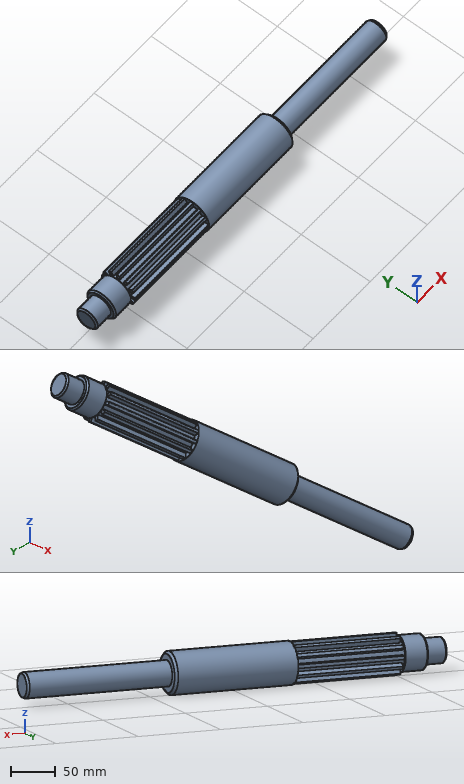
import cadquery as cq

TOTAL_LENGTH = 510.5
COLLAR_START = 25.0
COLLAR_END = 53.0
SPLINE_START = 56.0
BODY_START = 185.5
BODY_END = 334.5

JOURNAL_DIAMETER = 30.0
COLLAR_DIAMETER = 42.0
SPLINE_ROOT_DIAMETER = 35.5
SPLINE_TIP_DIAMETER = 48.5
BODY_DIAMETER = 50.0

SPLINE_COUNT = 12
SPLINE_WIDTH = 4.0

SMALL_CHAMFER = 2.0
LARGE_CHAMFER = 3.0
TAIL_CHAMFER_DEPTH = 1.5


def cylinder(start, end, diameter):
    """Solid cylinder on the X axis from start to end."""
    return cq.Workplane("YZ", origin=(start, 0, 0)).circle(diameter / 2).extrude(end - start)


def splines():
    """Straight-sided teeth arranged around the root cylinder."""
    tip_cylinder = cylinder(SPLINE_START, BODY_START, SPLINE_TIP_DIAMETER)
    bar = (
        cq.Workplane("YZ", origin=(SPLINE_START, 0, 0))
        .rect(BODY_DIAMETER, SPLINE_WIDTH)
        .extrude(BODY_START - SPLINE_START)
    )
    teeth = bar
    for index in range(1, SPLINE_COUNT // 2):
        angle = index * 360 / SPLINE_COUNT
        teeth = teeth.union(bar.rotate((0, 0, 0), (1, 0, 0), angle))
    return teeth.intersect(tip_cylinder)


journal = cylinder(0, COLLAR_START, JOURNAL_DIAMETER).faces("<X").chamfer(SMALL_CHAMFER)
collar = cylinder(COLLAR_START, COLLAR_END, COLLAR_DIAMETER).faces("<X").chamfer(SMALL_CHAMFER)
spline_root = cylinder(COLLAR_END, BODY_START, SPLINE_ROOT_DIAMETER)
body = cylinder(BODY_START, BODY_END, BODY_DIAMETER).faces(">X").chamfer(LARGE_CHAMFER)
tail = (
    cylinder(BODY_END, TOTAL_LENGTH, JOURNAL_DIAMETER)
    .faces(">X")
    .edges()
    .chamfer(LARGE_CHAMFER, TAIL_CHAMFER_DEPTH)
)

shaft = journal.union(collar).union(spline_root).union(body).union(tail).union(splines())
result = shaft.translate((-TOTAL_LENGTH / 2, 0, 0))